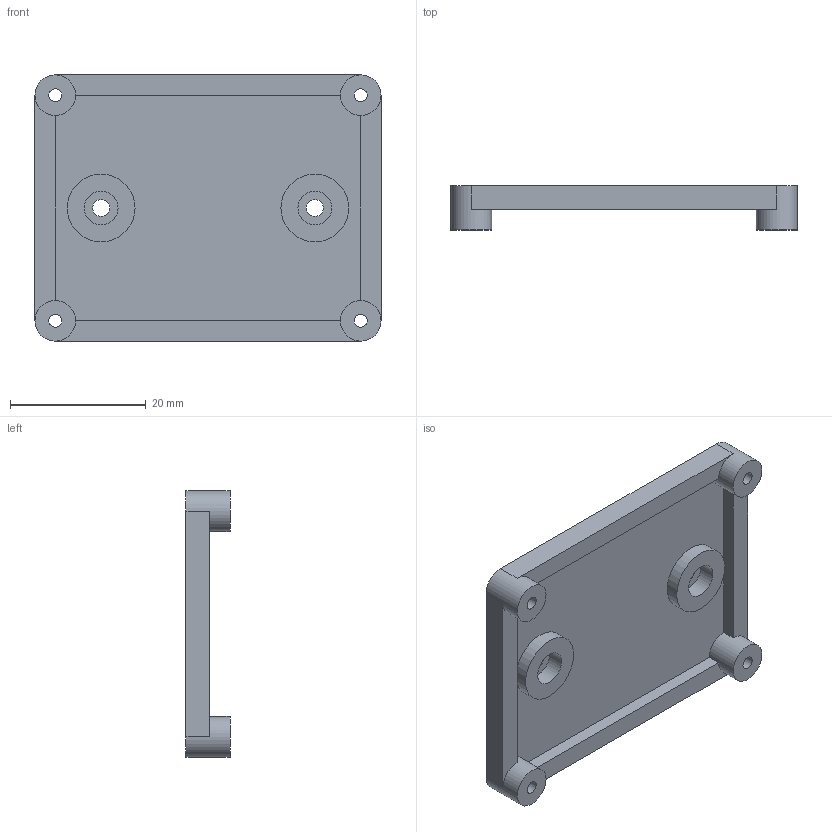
import cadquery as cq

width = 51.0
height = 39.25
post_length = 6.5

tray_depth = 3.5
floor_thickness = 1.5
wall_thickness = 3.0

post_diameter = 2 * wall_thickness
post_hole_diameter = 1.9
post_spacing_x = width - post_diameter
post_spacing_z = height - post_diameter

boss_spacing = 31.5
boss_diameter = 10.0
screw_hole_diameter = 2.5
counterbore_diameter = 5.0
counterbore_depth = 2.5

boss_front = tray_depth
post_centers = [
    (side_x * post_spacing_x / 2, side_z * post_spacing_z / 2)
    for side_x in (-1, 1)
    for side_z in (-1, 1)
]
boss_centers = [(-boss_spacing / 2, 0), (boss_spacing / 2, 0)]


def plane_at(depth):
    """XZ sketch plane at a distance in front of the back face, facing -Y."""
    return cq.Workplane("XZ", origin=(0, -depth, 0))


def cylinders(centers, diameter, start, end):
    """Equal cylinders along Y between two distances from the back face."""
    return plane_at(start).pushPoints(centers).circle(diameter / 2).extrude(end - start)


def make_tray():
    """Plate with notched corners, to be filled by the posts, and a pocket that leaves floor and rim."""
    wide_slab = plane_at(0).rect(width, post_spacing_z).extrude(tray_depth)
    tall_slab = plane_at(0).rect(post_spacing_x, height).extrude(tray_depth)
    pocket = (
        plane_at(floor_thickness)
        .rect(width - 2 * wall_thickness, height - 2 * wall_thickness)
        .extrude(tray_depth - floor_thickness)
    )
    return wide_slab.union(tall_slab).cut(pocket)


def add_posts(body):
    """Corner posts that round the outline, each drilled through its full length."""
    posts = cylinders(post_centers, post_diameter, 0, post_length)
    holes = cylinders(post_centers, post_hole_diameter, 0, post_length)
    return body.union(posts).cut(holes)


def add_bosses(body):
    """Round bosses on the floor with counterbored through holes."""
    bosses = cylinders(boss_centers, boss_diameter, 0, boss_front)
    holes = cylinders(boss_centers, screw_hole_diameter, 0, boss_front)
    counterbores = cylinders(
        boss_centers, counterbore_diameter, boss_front - counterbore_depth, boss_front
    )
    return body.union(bosses).cut(holes).cut(counterbores)


result = add_bosses(add_posts(make_tray()))